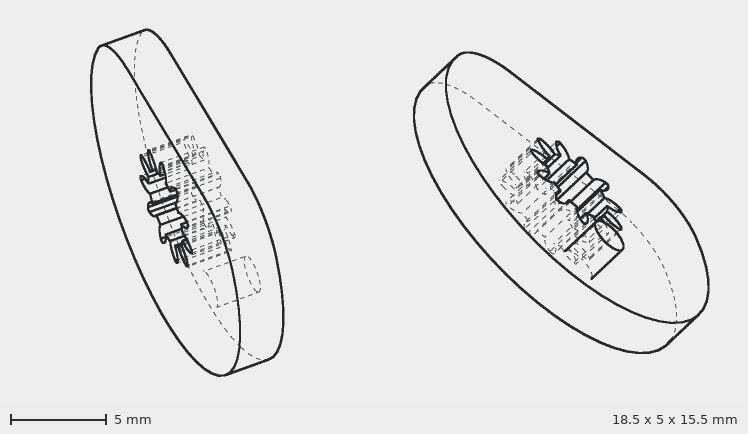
import cadquery as cq
import math

plate_radius = 9.25
flat_height = 6.25
corner_radius = 4.0
plate_thickness = 2.5

pin_radius = 1.0
pin_length = 2.5
pin_offset = 8.0
pin_fillet = 0.1

tooth_count = 11
root_radius = 2.12
root_half_width = 0.325
flank_radius = 2.6
flank_half_width = 0.38
tip_edge_radius = 3.2
tip_half_width = 0.135
tip_radius = 3.25


def build_plate():
    """Flat-topped disc extruded from Y = 0 towards +Y."""
    corner_z = flat_height - corner_radius
    corner_x = math.sqrt((plate_radius - corner_radius) ** 2 - corner_z ** 2)
    blend_angle = math.atan2(corner_z, corner_x)
    rim_x = plate_radius * math.cos(blend_angle)
    rim_z = plate_radius * math.sin(blend_angle)
    mid_angle = (blend_angle + math.pi / 2) / 2
    mid_x = corner_x + corner_radius * math.cos(mid_angle)
    mid_z = corner_z + corner_radius * math.sin(mid_angle)
    return (
        cq.Workplane("XZ")
        .moveTo(-corner_x, flat_height)
        .lineTo(corner_x, flat_height)
        .threePointArc((mid_x, mid_z), (rim_x, rim_z))
        .threePointArc((0, -plate_radius), (-rim_x, rim_z))
        .threePointArc((-mid_x, mid_z), (-corner_x, flat_height))
        .close()
        .extrude(-plate_thickness)
    )


def add_pin(plate):
    """Round pin near the bottom of the rim, with a small fillet at its foot."""
    pin = (
        cq.Workplane("XZ", origin=(0, plate_thickness, -pin_offset))
        .circle(pin_radius)
        .extrude(-pin_length)
    )
    foot_edge = cq.selectors.BoxSelector(
        (-pin_fillet, plate_thickness - pin_fillet, -pin_offset - pin_fillet),
        (pin_fillet, plate_thickness + pin_fillet, -pin_offset + pin_fillet),
    )
    return plate.union(pin).edges(foot_edge).fillet(pin_fillet)


def tooth_slot(index):
    """One tooth-shaped slot of the opening, from the axis outwards, turned to its place."""
    root_x = math.sqrt(root_radius ** 2 - root_half_width ** 2)
    slot = (
        cq.Workplane("XZ")
        .moveTo(0, -root_half_width)
        .lineTo(root_x, -root_half_width)
        .threePointArc((flank_radius, -flank_half_width), (tip_edge_radius, -tip_half_width))
        .threePointArc((tip_radius, 0), (tip_edge_radius, tip_half_width))
        .threePointArc((flank_radius, flank_half_width), (root_x, root_half_width))
        .lineTo(0, root_half_width)
        .close()
        .extrude(-plate_thickness)
    )
    return slot.rotate((0, 0, 0), (0, 1, 0), index * 360 / tooth_count)


def gear_opening():
    """Central bore with a ring of evenly spaced tooth slots; one slot points along +X."""
    opening = cq.Workplane("XZ").circle(root_radius).extrude(-plate_thickness)
    for index in range(tooth_count):
        opening = opening.union(tooth_slot(index))
    return opening


result = add_pin(build_plate()).cut(gear_opening())